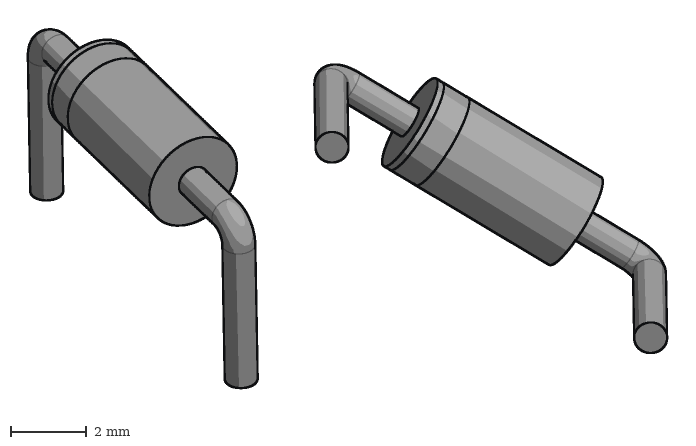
import cadquery as cq

body_diameter = 2.71
body_length = 5.21
body_radius = body_diameter / 2
body_end = body_length / 2

groove_diameter = 2.61
groove_radius = groove_diameter / 2
band_end_margin = 0.2
band_width = 0.8
band_start = -body_end + band_end_margin

lead_diameter = 0.88
lead_radius = lead_diameter / 2
lead_bend_radius = 0.63
lead_drop = 4.99
leg_spacing = 10.05
leg_offset = -0.08
leg_positions = [leg_offset - leg_spacing / 2, leg_offset + leg_spacing / 2]

lean_about_x = 0.5
lean_about_y = -0.8


def x_cylinder(start, length, radius):
    """Cylinder along X, beginning at x = start."""
    return cq.Workplane("YZ").workplane(offset=start).circle(radius).extrude(length)


def make_band():
    """Thin ring that fills the groove in the body."""
    outer = x_cylinder(band_start, band_width, body_radius)
    inner = x_cylinder(band_start, band_width, groove_radius)
    return outer.cut(inner)


def make_body():
    """Solid cylinder with a groove for the marking band."""
    return x_cylinder(-body_end, body_length, body_radius).cut(make_band())


def make_lead(leg_x):
    """Wire from the nearer end face of the body, bent down to a leg at x = leg_x."""
    side = 1 if leg_x > 0 else -1
    path = (
        cq.Workplane("XZ")
        .moveTo(side * body_end, 0)
        .lineTo(leg_x - side * lead_bend_radius, 0)
        .tangentArcPoint((leg_x, -lead_bend_radius), relative=False)
        .lineTo(leg_x, -lead_drop)
    )
    profile = cq.Workplane("YZ").workplane(offset=side * body_end).circle(lead_radius)
    return profile.sweep(path)


def lean(part):
    """Tilt a part with the rest of the component about the body centre."""
    return part.rotate((0, 0, 0), (1, 0, 0), lean_about_x).rotate((0, 0, 0), (0, 1, 0), lean_about_y)


body = lean(make_body())
band = lean(make_band())
leads = [lean(make_lead(leg_x)) for leg_x in leg_positions]

result = cq.Compound.makeCompound([body.val(), band.val(), *[lead.val() for lead in leads]])